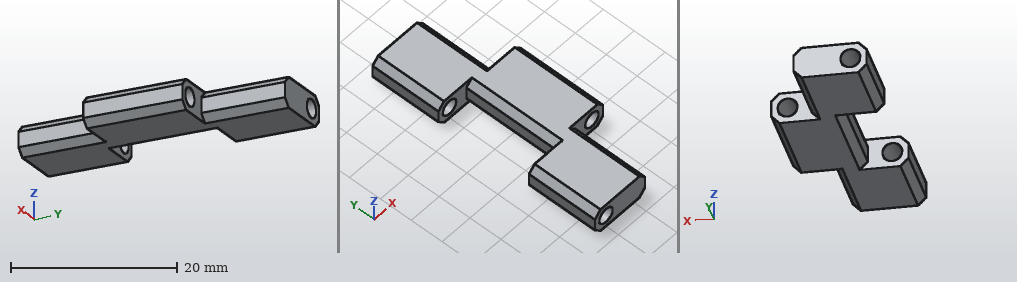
import cadquery as cq

length = 36.0
width = 14.0
thickness = 4.0

bar_width = 9.0
chamfer = 1.0
bar_offset = width - bar_width

gap_length = 14.65
middle_length = 13.4
end_length = (length - gap_length) / 2

hole_diameter = 2.4
hole_inset = thickness / 2
hole_x = width / 2 - hole_inset


def bar(center_x, center_y, bar_length):
    """Bar along Y with its four long edges chamfered."""
    return (
        cq.Workplane("XY")
        .box(bar_width, bar_length, thickness)
        .edges("|Y")
        .chamfer(chamfer)
        .translate((center_x, center_y, 0))
    )


def pin_hole(center_x):
    """Cutter for a pin hole running the full length of the hinge."""
    return (
        cq.Workplane("XZ")
        .center(center_x, 0)
        .circle(hole_diameter / 2)
        .extrude(length / 2, both=True)
    )


end_knuckle_x = -bar_offset / 2
middle_knuckle_x = bar_offset / 2

spine = bar(end_knuckle_x, 0, length).intersect(bar(middle_knuckle_x, 0, length))

body = spine.union(bar(middle_knuckle_x, 0, middle_length))
for side in (-1, 1):
    end_y = side * (length - end_length) / 2
    body = body.union(bar(end_knuckle_x, end_y, end_length))

for side in (-1, 1):
    body = body.cut(pin_hole(side * hole_x))

result = body